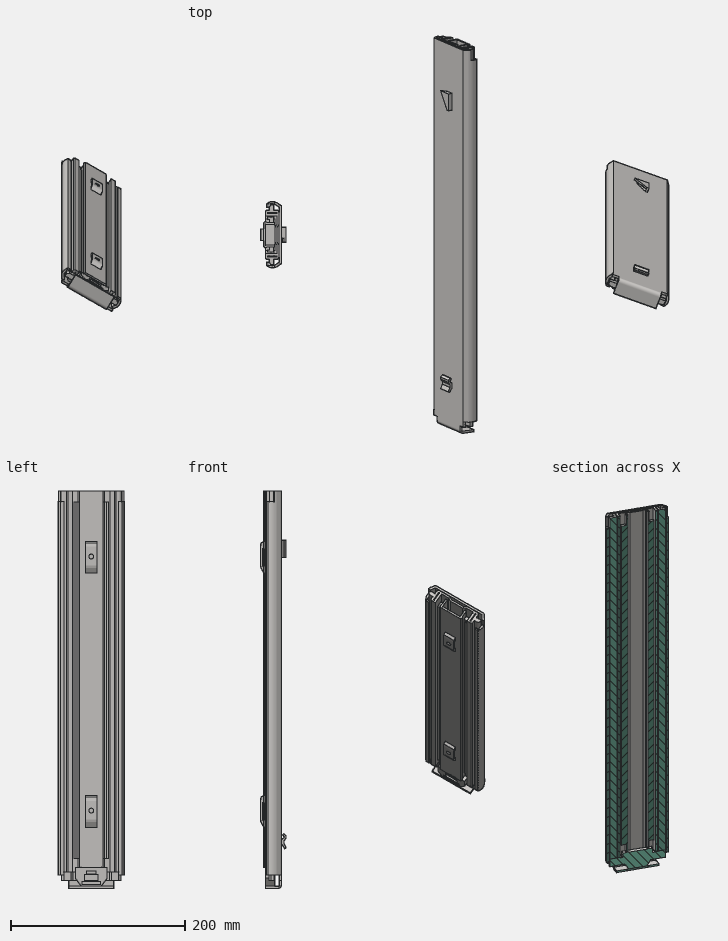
import cadquery as cq
import math


LENGTH = 457.0
HALF_THICKNESS = 29.5 / 2
HALF_HEIGHT = 76.5 / 2

OUTER_BACK = 9.5
OUTER_WALL = 2.7
OUTER_FRONT = -8.0
OUTER_BEVEL = 1.0
SLOPE_START = (4.0, 37.0)
FLANGE_ROUND_BACK = 2.5
FLANGE_RADIUS = 9.5
FLANGE_CROWN = -1.0
LIP_BOTTOM = 31.5
LIP_INSIDE = 35.0
LIP_WALL = 2.0
FLANGE_START = 15.5
WEB_SHOULDER = 9.0
WEB_HALF_WIDTH = 34.0
FOOT_HALF_WIDTH = 26.0
FOOT_FRONT = -9.0
FOOT_BEND = 4.5
NOTCH_DEPTH = 12.5
NOTCH_EDGE = 1.5

MIDDLE_START = 18.7
MIDDLE_FRONT = -9.0
MIDDLE_BACK = 6.5
MIDDLE_WALL = 2.5
MIDDLE_TOP = 28.5
MIDDLE_FLANGE = 7.0
WEB_OFFSET = 2.5
WEB_BEND_INNER = 8.2
WEB_BEND_OUTER = 12.0
MIDDLE_BEVEL = 1.5
FOLD_GAP = 1.0
RIB_FRONT = -4.0
RIB_BACK = 0.5
RIB_ROUND = 2.7
RIB_TOP = 34.7

INNER_START = 24.2
INNER_FRONT = -11.0
INNER_WALL = 2.5
INNER_HALF_HEIGHT = 15.0
INNER_FLANGE_TOP = 14.0
INNER_FLANGE_BACK = 1.5
INNER_BEVEL = 1.5
RACE_START = 34.5
RACE_END = LENGTH - 13.0
RACE_TOP = 20.0
RACE_HEAD = 2.7
RACE_FRONT = -6.5

BRIDGE_BASES = (70.5, 362.5)
BRIDGE_LENGTH = 36.5
BRIDGE_HALF_WIDTH = 7.0
BRIDGE_STEP_RISE = 3.0
BRIDGE_LOWER_STEP = 6.0
BRIDGE_UPPER_STEP = 2.0
BRIDGE_LOWER_RAMP = 8.5
BRIDGE_UPPER_RAMP = 6.5
BRIDGE_GAP = 1.5
BRIDGE_GAP_LENGTH = 20.0
BRIDGE_HOLE = 5.5
BRIDGE_HOLE_HEIGHT = 19.0

HOOK_HALF_WIDTH = 8.5
HOOK_WALL = 2.5
SIDE_HOOK_BASE = 380.5
SIDE_HOOK_LENGTH = 20.0
SIDE_HOOK_ROOT = 13.0
SIDE_HOOK_TOE = 2.7
SPRING_BASE = 45.5
SPRING_ROOT = (5.5, 10.5)
SPRING_OUTLINE = (
    (2.0, 0),
    (0, 1.0),
    (2.5, 6.0),
    (2.5, 9.0),
    (0, 12.5),
    (0, 14.5),
    (2.7, 17.5),
    (4.0, 16.0),
    (2.5, 13.3),
)

BUMPER_FRONT = -9.0
BUMPER_HALF_WIDTH = 18.5
BUMPER_SHOULDER = 12.0
BUMPER_TIP_HALF_WIDTH = 11.5
WING_HALF_SPAN = 34.5
WING_FRONT = -5.0
WING_BACK = 1.0
WING_STEP = 2.5
PAD_INNER = 23.5
PAD_OUTER = 31.5
POCKET_DEPTH = 2.5
POCKETS = (
    (11.0, 3.5, 18.5),
    (15.5, 7.0, 13.0),
    (21.0, 3.0, 6.5),
)


def box(x0, x1, y0, y1, z0, z1):
    """Box between two opposite corners."""
    return cq.Workplane("XY").box(x1 - x0, y1 - y0, z1 - z0, centered=False).translate((x0, y0, z0))


def both_sides(shape):
    """Join a shape with its mirror image across the XZ plane."""
    return shape.union(shape.mirror("XZ"))


def along_z(outline, z0, z1):
    """Extrude a closed XY outline from z0 to z1."""
    return outline.extrude(z1 - z0).translate((0, 0, z0))


def across_y(outline, half_width):
    """Extrude a closed XZ outline symmetrically across Y."""
    return outline.extrude(half_width, both=True)


def flange_height(x):
    """Y of the rounded outside of the outer flange at the given X."""
    from_crown = x - FLANGE_CROWN
    return HALF_HEIGHT - FLANGE_RADIUS + math.sqrt(FLANGE_RADIUS**2 - from_crown**2)


def outer_rail_channel():
    web_front = OUTER_BACK - OUTER_WALL
    half = (
        cq.Workplane("XY")
        .moveTo(OUTER_BACK, 0)
        .lineTo(OUTER_BACK, WEB_HALF_WIDTH - OUTER_BEVEL)
        .lineTo(OUTER_BACK - OUTER_BEVEL, WEB_HALF_WIDTH)
        .lineTo(*SLOPE_START)
        .lineTo(FLANGE_ROUND_BACK, flange_height(FLANGE_ROUND_BACK))
        .threePointArc((FLANGE_CROWN, HALF_HEIGHT), (OUTER_FRONT, flange_height(OUTER_FRONT)))
        .lineTo(OUTER_FRONT, LIP_BOTTOM)
        .lineTo(OUTER_FRONT + LIP_WALL, LIP_BOTTOM)
        .lineTo(OUTER_FRONT + LIP_WALL, LIP_INSIDE)
        .lineTo(FLANGE_CROWN, HALF_HEIGHT - OUTER_WALL)
        .lineTo(NOTCH_EDGE, LIP_INSIDE)
        .lineTo(web_front, LIP_BOTTOM)
        .lineTo(web_front, 0)
        .close()
    )
    channel = both_sides(along_z(half, FLANGE_START, LENGTH))
    notch = box(-HALF_THICKNESS, NOTCH_EDGE, LIP_BOTTOM, HALF_HEIGHT, LENGTH - NOTCH_DEPTH, LENGTH)
    return channel.cut(both_sides(notch))


def outer_rail_foot():
    web_front = OUTER_BACK - OUTER_WALL
    shoulder = box(web_front, OUTER_BACK, -WEB_HALF_WIDTH, WEB_HALF_WIDTH, WEB_SHOULDER, FLANGE_START)
    outline = (
        cq.Workplane("XZ")
        .moveTo(FOOT_FRONT, 0)
        .lineTo(OUTER_BACK - FOOT_BEND, 0)
        .radiusArc((OUTER_BACK, FOOT_BEND), -FOOT_BEND)
        .lineTo(OUTER_BACK, FLANGE_START)
        .lineTo(web_front, FLANGE_START)
        .lineTo(web_front, OUTER_WALL)
        .lineTo(FOOT_FRONT, OUTER_WALL)
        .close()
    )
    return shoulder.union(across_y(outline, FOOT_HALF_WIDTH))


def side_hook_layer(x0, x1, upper_width):
    """One layer of the side hook, narrowing downwards from the given width to the toe."""
    top = SIDE_HOOK_BASE + SIDE_HOOK_LENGTH
    outline = cq.Workplane("YZ", origin=(x0, 0, 0)).polyline([
        (HOOK_HALF_WIDTH, SIDE_HOOK_BASE),
        (HOOK_HALF_WIDTH, top),
        (HOOK_HALF_WIDTH - upper_width, top),
        (HOOK_HALF_WIDTH - SIDE_HOOK_TOE, SIDE_HOOK_BASE),
    ]).close()
    return outline.extrude(x1 - x0)


def side_hook():
    """Hook that leaves the web at +Y and reaches towards -Y, parallel to the web."""
    arm_front = HALF_THICKNESS - HOOK_WALL
    root = side_hook_layer(OUTER_BACK, arm_front, SIDE_HOOK_ROOT)
    arm = side_hook_layer(arm_front, HALF_THICKNESS, 2 * HOOK_HALF_WIDTH)
    return root.union(arm)


def spring_hook():
    """Hook with a waist on the web, a flared lower end and a bulged upper end."""
    root_bottom, root_top = SPRING_ROOT
    points = [(OUTER_BACK, root_bottom)]
    points += [(HALF_THICKNESS - inset, height) for inset, height in SPRING_OUTLINE]
    points += [(OUTER_BACK, root_top)]
    outline = cq.Workplane("XZ", origin=(0, 0, SPRING_BASE)).polyline(points).close()
    return across_y(outline, HOOK_HALF_WIDTH)


def make_outer_rail():
    return outer_rail_channel().union(outer_rail_foot()).union(side_hook()).union(spring_hook())


def make_middle_rail():
    web_front = MIDDLE_BACK - MIDDLE_WALL
    flange_bottom = MIDDLE_TOP - MIDDLE_FLANGE
    half = cq.Workplane("XY").polyline([
        (MIDDLE_BACK - WEB_OFFSET, 0),
        (MIDDLE_BACK - WEB_OFFSET, WEB_BEND_INNER),
        (MIDDLE_BACK, WEB_BEND_OUTER),
        (MIDDLE_BACK, MIDDLE_TOP - MIDDLE_BEVEL),
        (MIDDLE_BACK - MIDDLE_BEVEL, MIDDLE_TOP),
        (MIDDLE_FRONT + MIDDLE_BEVEL, MIDDLE_TOP),
        (MIDDLE_FRONT, MIDDLE_TOP - MIDDLE_BEVEL),
        (MIDDLE_FRONT, flange_bottom),
        (web_front, flange_bottom),
        (web_front, WEB_BEND_OUTER),
        (web_front - WEB_OFFSET, WEB_BEND_INNER),
        (web_front - WEB_OFFSET, 0),
    ]).close()
    rail = both_sides(along_z(half, MIDDLE_START, LENGTH))

    fold_middle = MIDDLE_TOP - MIDDLE_FLANGE / 2
    fold = box(
        MIDDLE_FRONT + MIDDLE_WALL, web_front,
        fold_middle - FOLD_GAP / 2, fold_middle + FOLD_GAP / 2,
        MIDDLE_START, LENGTH,
    )
    rib = box(RIB_FRONT, RIB_BACK, MIDDLE_TOP, RIB_TOP, MIDDLE_START, LENGTH)
    rib = rib.edges("|Z and >Y and <X").fillet(RIB_ROUND)
    return rail.cut(both_sides(fold)).union(both_sides(rib))


def inner_rail_channel():
    web_back = INNER_FRONT + INNER_WALL
    flange_inside = INNER_FLANGE_TOP - INNER_WALL
    half = cq.Workplane("XY").polyline([
        (INNER_FRONT, 0),
        (INNER_FRONT, INNER_HALF_HEIGHT - INNER_BEVEL),
        (INNER_FRONT + INNER_BEVEL, INNER_HALF_HEIGHT),
        (web_back, INNER_HALF_HEIGHT),
        (web_back + INNER_BEVEL, INNER_FLANGE_TOP),
        (INNER_FLANGE_BACK, INNER_FLANGE_TOP),
        (INNER_FLANGE_BACK, flange_inside),
        (web_back, flange_inside),
        (web_back, 0),
    ]).close()
    return both_sides(along_z(half, INNER_START, LENGTH))


def inner_race_rib():
    head_bottom = RACE_TOP - RACE_HEAD
    neck = box(RIB_FRONT, RIB_BACK, INNER_FLANGE_TOP, head_bottom, RACE_START, RACE_END)
    head = box(RACE_FRONT, RIB_BACK, head_bottom, RACE_TOP, RACE_START, RACE_END)
    return both_sides(neck.union(head))


def bridge_hook(base):
    """Strip raised from the front of the inner rail, ramped at both ends, with a round hole."""
    crest = -HALF_THICKNESS
    step = INNER_FRONT - BRIDGE_STEP_RISE
    top = base + BRIDGE_LENGTH
    outline = cq.Workplane("XZ").polyline([
        (INNER_FRONT, base),
        (step, base + BRIDGE_LOWER_STEP),
        (crest, base + BRIDGE_LOWER_RAMP),
        (crest, top - BRIDGE_UPPER_RAMP),
        (step, top - BRIDGE_UPPER_STEP),
        (INNER_FRONT, top),
    ]).close()
    gap_base = base + (BRIDGE_LENGTH - BRIDGE_GAP_LENGTH) / 2
    gap = box(
        INNER_FRONT - BRIDGE_GAP, INNER_FRONT,
        -BRIDGE_HALF_WIDTH, BRIDGE_HALF_WIDTH,
        gap_base, gap_base + BRIDGE_GAP_LENGTH,
    )
    hole = (
        cq.Workplane("YZ", origin=(crest, 0, base + BRIDGE_HOLE_HEIGHT))
        .circle(BRIDGE_HOLE / 2)
        .extrude(INNER_FRONT - crest)
    )
    return across_y(outline, BRIDGE_HALF_WIDTH).cut(gap).cut(hole)


def make_inner_rail():
    rail = inner_rail_channel().union(inner_race_rib())
    for base in BRIDGE_BASES:
        rail = rail.union(bridge_hook(base))
    return rail


def bumper_pocket(width, height, middle):
    """Shallow rectangular recess in the front face of the bumper."""
    return box(
        BUMPER_FRONT, BUMPER_FRONT + POCKET_DEPTH,
        -width / 2, width / 2,
        middle - height / 2, middle + height / 2,
    )


def bumper_wing():
    """Arm of the bumper towards +Y, with a bevelled pad on its front."""
    arm_front = WING_FRONT + WING_STEP
    outline = cq.Workplane("XY").polyline([
        (WING_BACK, 0),
        (WING_BACK, WING_HALF_SPAN),
        (arm_front, WING_HALF_SPAN),
        (WING_FRONT, PAD_OUTER),
        (WING_FRONT, PAD_INNER),
        (arm_front, PAD_INNER - WING_STEP),
        (arm_front, 0),
    ]).close()
    return along_z(outline, WEB_SHOULDER, MIDDLE_START)


def make_bumper():
    """Stop block resting on the foot, with a wing under each flange of the middle rail."""
    depth = MIDDLE_BACK - MIDDLE_WALL - WEB_OFFSET - BUMPER_FRONT
    half = cq.Workplane("YZ", origin=(BUMPER_FRONT, 0, 0)).polyline([
        (0, OUTER_WALL),
        (BUMPER_TIP_HALF_WIDTH, OUTER_WALL),
        (BUMPER_HALF_WIDTH, BUMPER_SHOULDER),
        (BUMPER_HALF_WIDTH, INNER_START),
        (0, INNER_START),
    ]).close()
    block = half.extrude(depth)
    bumper = both_sides(block.union(bumper_wing()))
    for pocket in POCKETS:
        bumper = bumper.cut(bumper_pocket(*pocket))
    return bumper


outer_rail = make_outer_rail()
middle_rail = make_middle_rail()
inner_rail = make_inner_rail()
bumper = make_bumper()

result = cq.Compound.makeCompound([
    outer_rail.val(),
    middle_rail.val(),
    inner_rail.val(),
    bumper.val(),
])